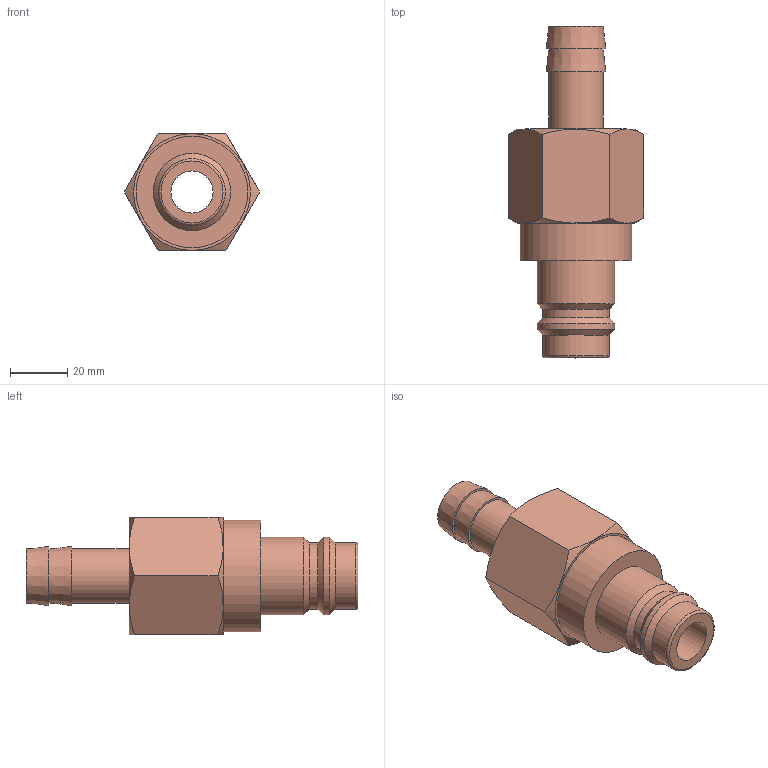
import cadquery as cq
import math

total_length = 116.0
bore_diameter = 14.7

plug_radius = 13.5
neck_radius = 11.65
tip_fillet = 0.8
bevel_length = 2.0
tip_length = 8.0
rib_land_length = 2.0
groove_land_length = 3.0
plug_end_y = 34.0

collar_radius = 19.5
collar_end_y = 47.0
hex_sides = 6
hex_across_flats = 41.0
hex_end_y = 80.0
hex_chamfer_radius = 20.4
hex_chamfer_angle = 30.0

tail_radius = 9.5
barb_radius = 10.4
barb_length = 8.0
barb_count = 2


def revolve_about_y(profile):
    """Revolve a closed profile in the XY plane about the Y axis."""
    return profile.revolve(360, (0, 0, 0), (0, 1, 0))


def revolve_points(points):
    """Revolve a straight-sided outline of (radius, y) points about the Y axis."""
    return revolve_about_y(cq.Workplane("XY").polyline(points).close())


def make_plug():
    """Plug with a rounded tip, a bevelled rib and a locking groove, ending in the collar."""
    rib_front_y = tip_length + bevel_length
    rib_back_y = rib_front_y + rib_land_length
    groove_front_y = rib_back_y + bevel_length
    groove_back_y = groove_front_y + groove_land_length
    profile = (
        cq.Workplane("XY")
        .lineTo(neck_radius - tip_fillet, 0)
        .radiusArc((neck_radius, tip_fillet), -tip_fillet)
        .lineTo(neck_radius, tip_length)
        .lineTo(plug_radius, rib_front_y)
        .lineTo(plug_radius, rib_back_y)
        .lineTo(neck_radius, groove_front_y)
        .lineTo(neck_radius, groove_back_y)
        .lineTo(plug_radius, groove_back_y + bevel_length)
        .lineTo(plug_radius, plug_end_y)
        .lineTo(collar_radius, plug_end_y)
        .lineTo(collar_radius, collar_end_y)
        .lineTo(0, collar_end_y)
        .close()
    )
    return revolve_about_y(profile)


def make_hexagon():
    """Hexagon with corners on the X axis and conical chamfers at both ends."""
    corner_radius = hex_across_flats / 2 / math.cos(math.pi / hex_sides)
    chamfer_length = (corner_radius - hex_chamfer_radius) * math.tan(math.radians(hex_chamfer_angle))
    prism = (
        cq.Workplane("XZ", origin=(0, collar_end_y, 0))
        .polygon(hex_sides, 2 * corner_radius)
        .extrude(collar_end_y - hex_end_y)
    )
    chamfer_envelope = revolve_points([
        (0, collar_end_y),
        (hex_chamfer_radius, collar_end_y),
        (corner_radius, collar_end_y + chamfer_length),
        (corner_radius, hex_end_y - chamfer_length),
        (hex_chamfer_radius, hex_end_y),
        (0, hex_end_y),
    ])
    return prism.intersect(chamfer_envelope)


def make_hose_tail():
    """Hose tail with conical barbs that taper toward the open end."""
    barbs_start_y = total_length - barb_count * barb_length
    points = [(0, hex_end_y), (tail_radius, hex_end_y)]
    for index in range(barb_count):
        barb_y = barbs_start_y + index * barb_length
        points.append((tail_radius, barb_y))
        points.append((barb_radius, barb_y))
    points.append((tail_radius, total_length))
    points.append((0, total_length))
    return revolve_points(points)


def make_bore():
    """Straight bore through the whole length."""
    return cq.Workplane("XZ").circle(bore_diameter / 2).extrude(-total_length)


result = make_plug().union(make_hexagon()).union(make_hose_tail()).cut(make_bore())